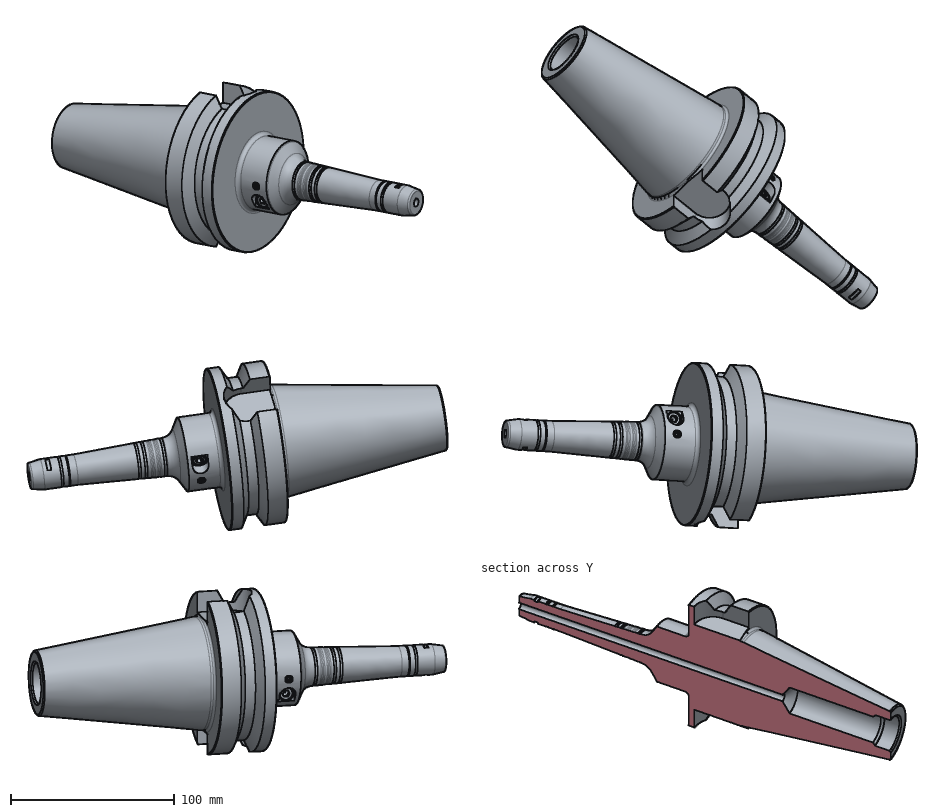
import cadquery as cq
import math


SHANK_LENGTH = 101.8
GAUGE_RADIUS = 69.85 / 2
TAPER_SLOPE = 7 / 48
SHANK_CHAMFER = 0.8
RELIEF_RADIUS = 1.5

FLANGE_START = 3.0
FLANGE_END = 38.0
FLANGE_RADIUS = 50.0
FLANGE_CHAMFER = 0.5
GROOVE_CENTER = 23.0
GROOVE_FLOOR_WIDTH = 6.4
GROOVE_FLOOR_RADIUS = 42.5
GROOVE_FLANK_ANGLE = math.radians(30)

KEYWAY_WIDTH = 25.7
KEYWAY_FLOOR = 35.3
KEYWAY_END = 33.9

COLLAR_RADIUS = 23.0
COLLAR_FILLET = 2.5
COLLAR_EDGE_CHAMFER = 0.5
SHOULDER_ANGLE = math.radians(60)
SHOULDER_FILLET = 8.0

NECK_START = 70.8
NECK_RADIUS = 24.0 / 2
NECK_END = 126.4
NOSE_RADIUS = 19.0 / 2
NOSE_CONE_START = 147.2
TIP = 155.0
TIP_FILLET = 1.0
NOSE_CONE_SLOPE = 0.18

RING_DEPTH = 0.15
NECK_RING_FIRST = 72.0
NECK_RING_PITCH = 4.0
SQUARE_RING = (1.5, 1.5)
SLOPED_RING = (2.4, 0.8)
NECK_RINGS = (SQUARE_RING, SLOPED_RING, SLOPED_RING, SQUARE_RING, SQUARE_RING)
NOSE_RINGS = ((131.0, 131.7), (135.1, 136.5))

FLAT_START = 142.0
FLAT_WIDTH = 2.4
FLAT_LENGTH = 8.4

PILOT_RADIUS = 25.0 / 2
PILOT_CHAMFER = 1.0
PILOT_DEPTH = 11.0
THREAD_RADIUS = 21.0 / 2
THREAD_CHAMFER = 1.5
THREAD_DEPTH = 70.0
DRILL_HALF_ANGLE = math.radians(59)
COOLANT_RADIUS = 5.0 / 2

SCREW_X = 52.0
CLAMP_HEIGHT = -12.0
CLAMP_POCKET_WIDTH = 10.0
CLAMP_POCKET_FLOOR = 15.8
CLAMP_GAP_DIAMETER = 9.0
CLAMP_SCREW_DIAMETER = 8.0
CLAMP_GAP_DEPTH = 1.0
CLAMP_HEX_CORNERS = 4.62
CLAMP_HEX_DEPTH = 3.0
CLAMP_DRILL_DIAMETER = 4.0
CLAMP_DRILL_TIP = 0.7
BLEED_HEIGHT = -1.2
BLEED_DIAMETER = 5.0
BLEED_THREAD_DIAMETER = 4.1
BLEED_DEPTH = 1.5
BLEED_HEX_CORNERS = 2.31
BLEED_HEX_DEPTH = 1.5

OVERSHOOT = 1.0


def revolve(outline):
    return outline.close().revolve(360, (0, 0, 0), (1, 0, 0))


def taper_radius(x):
    return GAUGE_RADIUS + TAPER_SLOPE * x


def neck_radius(x):
    fraction = (x - NECK_START) / (NECK_END - NECK_START)
    return NECK_RADIUS + fraction * (NOSE_RADIUS - NECK_RADIUS)


def point_on_arc(center_x, center_r, radius, angle):
    return (center_x + radius * math.cos(angle), center_r + radius * math.sin(angle))


def make_body():
    rear = -SHANK_LENGTH
    groove_half = GROOVE_FLOOR_WIDTH / 2
    flank = (FLANGE_RADIUS - GROOVE_FLOOR_RADIUS) * math.tan(GROOVE_FLANK_ANGLE)
    relief_center = (FLANGE_START - RELIEF_RADIUS, GAUGE_RADIUS + RELIEF_RADIUS)
    relief_mid = point_on_arc(*relief_center, RELIEF_RADIUS, -math.pi / 4)
    collar_center = (FLANGE_END + COLLAR_FILLET, COLLAR_RADIUS + COLLAR_FILLET)
    collar_mid = point_on_arc(*collar_center, COLLAR_FILLET, -3 * math.pi / 4)

    shoulder_center = (NECK_START, NECK_RADIUS + SHOULDER_FILLET)
    cone_angle = -math.pi / 2 - SHOULDER_ANGLE
    cone_foot = point_on_arc(*shoulder_center, SHOULDER_FILLET, cone_angle)
    shoulder_mid = point_on_arc(*shoulder_center, SHOULDER_FILLET, (cone_angle - math.pi / 2) / 2)
    cone_top_radius = COLLAR_RADIUS - COLLAR_EDGE_CHAMFER
    cone_top_x = cone_foot[0] - (cone_top_radius - cone_foot[1]) / math.tan(SHOULDER_ANGLE)

    tip_cone_x = TIP - TIP_FILLET
    tip_cone_radius = NOSE_RADIUS - NOSE_CONE_SLOPE * (tip_cone_x - NOSE_CONE_START)
    tip_center = (tip_cone_x, tip_cone_radius - TIP_FILLET)
    tip_mid = point_on_arc(*tip_center, TIP_FILLET, math.pi / 4)

    outline = (
        cq.Workplane("XY")
        .moveTo(rear, 0)
        .lineTo(rear, taper_radius(rear) - SHANK_CHAMFER)
        .lineTo(rear + SHANK_CHAMFER, taper_radius(rear + SHANK_CHAMFER))
        .lineTo(0, GAUGE_RADIUS)
        .lineTo(relief_center[0], GAUGE_RADIUS)
        .threePointArc(relief_mid, (FLANGE_START, relief_center[1]))
        .lineTo(FLANGE_START, FLANGE_RADIUS - FLANGE_CHAMFER)
        .lineTo(FLANGE_START + FLANGE_CHAMFER, FLANGE_RADIUS)
        .lineTo(GROOVE_CENTER - groove_half - flank, FLANGE_RADIUS)
        .lineTo(GROOVE_CENTER - groove_half, GROOVE_FLOOR_RADIUS)
        .lineTo(GROOVE_CENTER + groove_half, GROOVE_FLOOR_RADIUS)
        .lineTo(GROOVE_CENTER + groove_half + flank, FLANGE_RADIUS)
        .lineTo(FLANGE_END - FLANGE_CHAMFER, FLANGE_RADIUS)
        .lineTo(FLANGE_END, FLANGE_RADIUS - FLANGE_CHAMFER)
        .lineTo(FLANGE_END, collar_center[1])
        .threePointArc(collar_mid, (collar_center[0], COLLAR_RADIUS))
        .lineTo(cone_top_x - COLLAR_EDGE_CHAMFER, COLLAR_RADIUS)
        .lineTo(cone_top_x, cone_top_radius)
        .lineTo(*cone_foot)
        .threePointArc(shoulder_mid, (NECK_START, NECK_RADIUS))
        .lineTo(NECK_END, NOSE_RADIUS)
        .lineTo(NOSE_CONE_START, NOSE_RADIUS)
        .lineTo(tip_cone_x, tip_cone_radius)
        .threePointArc(tip_mid, (TIP, tip_center[1]))
        .lineTo(TIP, 0)
    )
    return revolve(outline)


def make_bore():
    rear = -SHANK_LENGTH
    pilot_end = rear + PILOT_DEPTH
    thread_end = rear + THREAD_DEPTH
    drill_tip = drill_point(2 * THREAD_RADIUS, 2 * COOLANT_RADIUS)
    thread_mouth = THREAD_RADIUS + THREAD_CHAMFER
    outline = (
        cq.Workplane("XY")
        .moveTo(rear, 0)
        .lineTo(rear, PILOT_RADIUS + PILOT_CHAMFER)
        .lineTo(rear + PILOT_CHAMFER, PILOT_RADIUS)
        .lineTo(pilot_end, PILOT_RADIUS)
        .lineTo(pilot_end, thread_mouth)
        .lineTo(pilot_end + THREAD_CHAMFER, THREAD_RADIUS)
        .lineTo(thread_end, THREAD_RADIUS)
        .lineTo(thread_end + drill_tip, COOLANT_RADIUS)
        .lineTo(TIP, COOLANT_RADIUS)
        .lineTo(TIP, 0)
    )
    return revolve(outline)


def make_keyway():
    """Slot with a round end, cut outwards from its floor on the +Z side."""
    half = KEYWAY_WIDTH / 2
    return (
        cq.Workplane("XY", origin=(0, 0, KEYWAY_FLOOR))
        .moveTo(0, -half)
        .lineTo(KEYWAY_END - half, -half)
        .threePointArc((KEYWAY_END, 0), (KEYWAY_END - half, half))
        .lineTo(0, half)
        .close()
        .extrude(FLANGE_RADIUS)
    )


def make_neck_ring(center, width, floor_width):
    """Shallow groove round the tapered neck."""
    start = center - width / 2
    end = center + width / 2
    floor_start = center - floor_width / 2
    floor_end = center + floor_width / 2
    outline = (
        cq.Workplane("XY")
        .moveTo(start, neck_radius(start))
        .lineTo(floor_start, neck_radius(floor_start) - RING_DEPTH)
        .lineTo(floor_end, neck_radius(floor_end) - RING_DEPTH)
        .lineTo(end, neck_radius(end))
        .lineTo(end, NECK_RADIUS + OVERSHOOT)
        .lineTo(start, NECK_RADIUS + OVERSHOOT)
    )
    return revolve(outline)


def make_nose_ring(start, end):
    """Shallow square groove round the nose."""
    outline = (
        cq.Workplane("XY")
        .moveTo(start, NOSE_RADIUS - RING_DEPTH)
        .lineTo(end, NOSE_RADIUS - RING_DEPTH)
        .lineTo(end, NOSE_RADIUS + OVERSHOOT)
        .lineTo(start, NOSE_RADIUS + OVERSHOOT)
    )
    return revolve(outline)


def make_nose_flat():
    """Cutter for a flat-bottomed slot across the +Z side of the nose."""
    floor = math.sqrt(NOSE_RADIUS**2 - (FLAT_LENGTH / 2) ** 2)
    size = (FLAT_WIDTH, 2 * NOSE_RADIUS, NOSE_RADIUS)
    return cq.Workplane("XY", origin=(FLAT_START, 0, floor)).box(*size, centered=(False, True, False))


def screw_plane(height, floor):
    """Workplane facing -Y, centred on a screw and set at its floor distance from the axis."""
    return cq.Workplane("XZ", origin=(SCREW_X, -floor, height))


def drill_point(diameter, tip_diameter):
    """Height of a drill point between two diameters."""
    return (diameter - tip_diameter) / 2 / math.tan(DRILL_HALF_ANGLE)


def make_clamp_screw():
    """Round-ended pocket, open downwards, whose floor shows a screw head with a hex socket."""
    floor = screw_plane(CLAMP_HEIGHT, CLAMP_POCKET_FLOOR)
    half = CLAMP_POCKET_WIDTH / 2
    pocket = (
        floor.moveTo(-half, -COLLAR_RADIUS)
        .lineTo(-half, 0)
        .threePointArc((0, half), (half, 0))
        .lineTo(half, -COLLAR_RADIUS)
        .close()
        .extrude(COLLAR_RADIUS)
    )
    gap = floor.circle(CLAMP_GAP_DIAMETER / 2).circle(CLAMP_SCREW_DIAMETER / 2).extrude(-CLAMP_GAP_DEPTH)
    socket = floor.polygon(6, CLAMP_HEX_CORNERS).extrude(-CLAMP_HEX_DEPTH)
    point = (
        screw_plane(CLAMP_HEIGHT, CLAMP_POCKET_FLOOR - CLAMP_HEX_DEPTH)
        .circle(CLAMP_DRILL_DIAMETER / 2)
        .workplane(offset=-drill_point(CLAMP_DRILL_DIAMETER, CLAMP_DRILL_TIP))
        .circle(CLAMP_DRILL_TIP / 2)
        .loft()
    )
    return pocket.union(gap).union(socket).union(point)


def make_bleed_screw():
    """Small countersunk hole that ends at a screw face with a hex socket."""
    floor = screw_plane(BLEED_HEIGHT, COLLAR_RADIUS - BLEED_DEPTH)
    chamfer = (BLEED_DIAMETER - BLEED_THREAD_DIAMETER) / 2
    hole = floor.circle(BLEED_THREAD_DIAMETER / 2).extrude(COLLAR_RADIUS)
    mouth = screw_plane(BLEED_HEIGHT, COLLAR_RADIUS - chamfer)
    countersink = (
        mouth.circle(BLEED_THREAD_DIAMETER / 2)
        .workplane(offset=chamfer)
        .circle(BLEED_DIAMETER / 2)
        .loft()
    )
    socket = floor.polygon(6, BLEED_HEX_CORNERS).extrude(-BLEED_HEX_DEPTH)
    return hole.union(countersink).union(socket)


def cut_on_both_sides(body, cutter):
    """Cut a shape and its copy turned half a turn about the axis."""
    opposite = cutter.rotate((0, 0, 0), (1, 0, 0), 180)
    return body.cut(cutter).cut(opposite)


result = make_body().cut(make_bore())
for index, (ring_width, ring_floor) in enumerate(NECK_RINGS):
    ring_center = NECK_RING_FIRST + index * NECK_RING_PITCH
    result = result.cut(make_neck_ring(ring_center, ring_width, ring_floor))
for ring_start, ring_end in NOSE_RINGS:
    result = result.cut(make_nose_ring(ring_start, ring_end))
for paired_cutter in (make_keyway(), make_nose_flat(), make_clamp_screw(), make_bleed_screw()):
    result = cut_on_both_sides(result, paired_cutter)